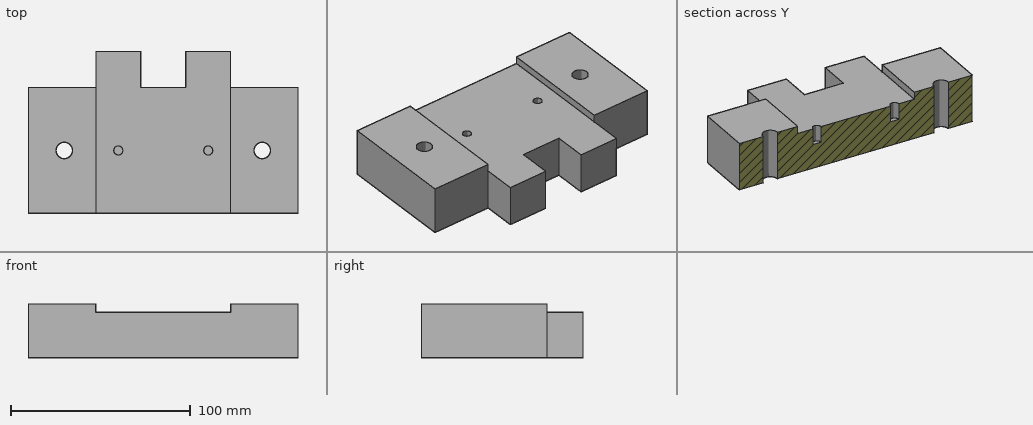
import cadquery as cq

block_length = 150.0
block_width = 70.0
block_height = 30.0

channel_width = 75.0
channel_depth = 4.5
channel_floor = block_height - channel_depth

tab_length = 20.0
tab_width = 25.0
tab_offset = (channel_width - tab_width) / 2

hole_row_y = block_width / 2
mounting_hole_diameter = 9.0
mounting_hole_offset = 55.0
pin_hole_diameter = 5.04
pin_hole_offset = 25.0
pin_hole_depth = 10.0


def box(x_center, y_start, z_start, x_size, y_size, z_size):
    """Box centred on x_center, growing along +Y and +Z from its start."""
    solid = cq.Workplane("XY").box(x_size, y_size, z_size, centered=(True, False, False))
    return solid.translate((x_center, y_start, z_start))


def hole_pair(offset, diameter, top, depth):
    """Cutters for two vertical holes mirrored about X = 0, sunk from top."""
    return (
        cq.Workplane("XY", origin=(0, hole_row_y, top))
        .pushPoints([(-offset, 0), (offset, 0)])
        .circle(diameter / 2)
        .extrude(-depth)
    )


def channelled_block():
    block = box(0, 0, 0, block_length, block_width, block_height)
    channel = box(0, 0, channel_floor, channel_width, block_width, channel_depth)
    return block.cut(channel)


def add_tabs(body):
    for side in (-1, 1):
        tab = box(side * tab_offset, block_width, 0, tab_width, tab_length, channel_floor)
        body = body.union(tab)
    return body.clean()


def cut_holes(body):
    through_holes = hole_pair(mounting_hole_offset, mounting_hole_diameter, block_height, block_height)
    blind_holes = hole_pair(pin_hole_offset, pin_hole_diameter, channel_floor, pin_hole_depth)
    return body.cut(through_holes).cut(blind_holes)


result = cut_holes(add_tabs(channelled_block()))